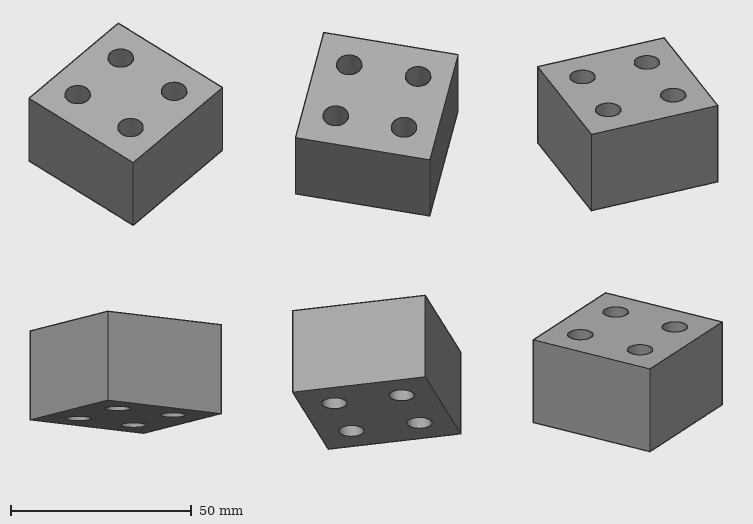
import cadquery as cq

side = 38.0
height = 25.0

hole_diameter = 7.0
hole_centres = [
    (-9.73, 9.25),
    (9.75, 9.15),
    (-9.65, -9.15),
    (9.65, -9.25),
]

block = cq.Workplane("XY").box(side, side, height)

result = (
    block.faces(">Z")
    .workplane()
    .pushPoints(hole_centres)
    .hole(hole_diameter)
)